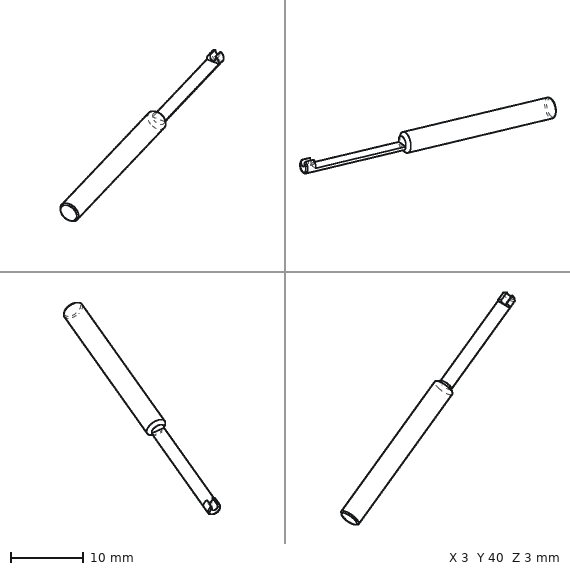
import cadquery as cq

length = 40.0
shank_diameter = 3.0
tip_diameter = 2.0

shank_length = 24.0
edge_chamfer = 0.2
head_length = 1.5

flat_height = -0.15
groove_diameter = 0.85
groove_center_height = 0.5

rear_y = -length / 2
front_y = length / 2
shoulder_y = rear_y + shank_length
head_y = front_y - head_length
shank_radius = shank_diameter / 2
tip_radius = tip_diameter / 2
shoulder_chamfer = shank_radius - tip_radius


def make_turned_body():
    """Chamfered shank and slender round tip, revolved about Y."""
    return (
        cq.Workplane("XY")
        .moveTo(0, rear_y)
        .lineTo(shank_radius - edge_chamfer, rear_y)
        .lineTo(shank_radius, rear_y + edge_chamfer)
        .lineTo(shank_radius, shoulder_y - shoulder_chamfer)
        .lineTo(tip_radius, shoulder_y)
        .lineTo(tip_radius, front_y - edge_chamfer)
        .lineTo(tip_radius - edge_chamfer, front_y)
        .lineTo(0, front_y)
        .close()
        .revolve(360, (0, 0, 0), (0, 1, 0))
    )


def make_neck_relief():
    """Material above the flat, between the shoulder and the head."""
    return cq.Workplane("XY").box(
        tip_diameter, head_y - shoulder_y, tip_diameter, centered=(True, False, False)
    ).translate((0, shoulder_y, flat_height))


def make_head_groove():
    """Round-bottomed groove through the head, open at the top."""
    groove_radius = groove_diameter / 2
    return (
        cq.Workplane("XZ", origin=(0, front_y, 0))
        .moveTo(-groove_radius, tip_diameter)
        .lineTo(-groove_radius, groove_center_height)
        .threePointArc((0, groove_center_height - groove_radius), (groove_radius, groove_center_height))
        .lineTo(groove_radius, tip_diameter)
        .close()
        .extrude(head_length)
    )


result = make_turned_body().cut(make_neck_relief()).cut(make_head_groove())